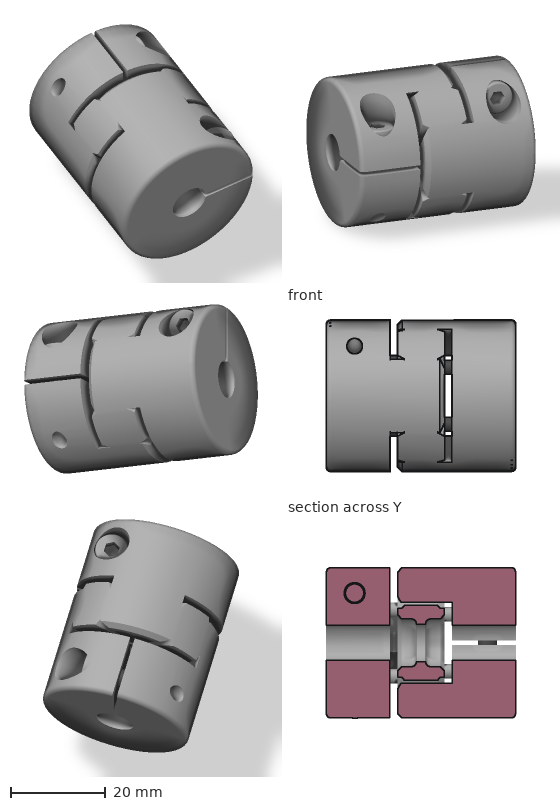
import cadquery as cq
import math


LENGTH = 40.0
RADIUS = 16.0
SPIDER_LENGTH = 10.0
HUB_SPACING = 13.0
SPIDER_START = (LENGTH - SPIDER_LENGTH) / 2
SPIDER_END = SPIDER_START + SPIDER_LENGTH
HUB_LENGTH = (LENGTH - HUB_SPACING) / 2

BORE_RADIUS = 4.0
RIM_FILLET = 1.0
SLOT_WIDTH = 1.0

JAW_HALF_WIDTH = 7.75
JAW_INNER_RADIUS = 8.7
JAW_CHAMFER = 1.0
FLANK_RADIUS = 16.0
JAW_CORNER_HEIGHT = math.sqrt(RADIUS**2 - JAW_HALF_WIDTH**2)
FLANK_OFFSET = JAW_HALF_WIDTH + math.sqrt(FLANK_RADIUS**2 - JAW_CORNER_HEIGHT**2)

LEG_CHAMFER_LENGTH = 1.5
LEG_CHAMFER_DEPTH = 0.8
CORE_RADIUS = 7.5
WEB_HOLE_RADIUS = 4.25
RECESS_RADIUS = 5.25
RECESS_FILLET = RECESS_RADIUS - WEB_HOLE_RADIUS
RECESS_DEPTH = 4.0
RECESS_CHAMFER = 0.9
PIN_RADIUS = 3.0 / 2
FIRST_PIN_OFFSET = 7.05
SECOND_PIN_OFFSET = 6.0

SCREW_X = 6.0
SCREW_Z = 10.5
COUNTERBORE_RADIUS = 7.5 / 2
CLEARANCE_RADIUS = 4.3 / 2
TAPPED_RADIUS = 3.3 / 2
SHANK_RADIUS = 4.0 / 2
HEAD_RADIUS = 7.0 / 2
HEAD_HEIGHT = 4.0
HEAD_TOP_Y = 8.5
HEAD_SEAT_Y = HEAD_TOP_Y - HEAD_HEIGHT
HEAD_FILLET = 0.4
SCREW_LENGTH = 14.0
SCREW_TIP_Y = HEAD_SEAT_Y - SCREW_LENGTH
SOCKET_ACROSS_FLATS = 3.0
SOCKET_DIAMETER = SOCKET_ACROSS_FLATS / math.cos(math.pi / 6)
SOCKET_DEPTH = 2.0
SOCKET_POINT_DEPTH = 0.9


def x_cylinder(radius, start, end, y=0.0, z=0.0):
    """Cylinder along X between two X positions."""
    return cq.Workplane("YZ", origin=(start, y, z)).circle(radius).extrude(end - start)


def y_cylinder(radius, start, end):
    """Cylinder on the screw axis between two Y positions."""
    plane = cq.Plane(origin=(SCREW_X, start, SCREW_Z), xDir=(1, 0, 0), normal=(0, 1, 0))
    return cq.Workplane(plane).circle(radius).extrude(end - start)


def cut_jaws(body):
    """Leave two opposite jaws, at -Y and +Y, on the inner end of a hub body.

    The tips are chamfered along their flanks, which are hollowed by a cylinder at +Z and at -Z.
    """
    body = body.cut(x_cylinder(JAW_INNER_RADIUS, HUB_LENGTH, SPIDER_END))
    flank = (
        cq.Workplane("XY")
        .moveTo(HUB_LENGTH, 0)
        .lineTo(HUB_LENGTH, FLANK_RADIUS)
        .lineTo(SPIDER_END - JAW_CHAMFER, FLANK_RADIUS)
        .lineTo(SPIDER_END, FLANK_RADIUS + JAW_CHAMFER)
        .lineTo(SPIDER_END, 0)
        .close()
        .revolve(360, (0, 0, 0), (1, 0, 0))
    )
    for side in (-1, 1):
        body = body.cut(flank.translate((0, 0, side * FLANK_OFFSET)))
    return body


def make_screw():
    """Socket head cap screw with its head towards +Y."""
    head = y_cylinder(HEAD_RADIUS, HEAD_SEAT_Y, HEAD_TOP_Y).faces(">Y").edges().fillet(HEAD_FILLET)
    top = cq.Plane(origin=(SCREW_X, HEAD_TOP_Y, SCREW_Z), xDir=(1, 0, 0), normal=(0, 1, 0))
    socket = cq.Workplane(top).polygon(6, SOCKET_DIAMETER).extrude(-SOCKET_DEPTH)
    point = cq.Solid.makeCone(
        SOCKET_ACROSS_FLATS / 2,
        0,
        SOCKET_POINT_DEPTH,
        pnt=cq.Vector(SCREW_X, HEAD_TOP_Y - SOCKET_DEPTH, SCREW_Z),
        dir=cq.Vector(0, -1, 0),
    )
    shank = y_cylinder(SHANK_RADIUS, SCREW_TIP_Y, HEAD_SEAT_Y)
    return head.union(shank).cut(socket).cut(cq.Workplane(point))


def make_hub():
    """Clamping hub with its outer face at X = 0, complete with jaws and screw."""
    hub = x_cylinder(RADIUS, 0, SPIDER_END)
    hub = hub.faces("<X").edges().fillet(RIM_FILLET)
    hub = hub.faces(">X").edges().chamfer(JAW_CHAMFER)
    hub = cut_jaws(hub)
    hub = hub.cut(x_cylinder(BORE_RADIUS, 0, HUB_LENGTH))
    slot = cq.Workplane("XY").box(HUB_LENGTH, SLOT_WIDTH, RADIUS, centered=(False, True, False))
    hub = hub.cut(slot)
    hub = hub.cut(y_cylinder(COUNTERBORE_RADIUS, HEAD_SEAT_Y, RADIUS))
    hub = hub.cut(y_cylinder(CLEARANCE_RADIUS, 0, HEAD_SEAT_Y))
    hub = hub.cut(y_cylinder(TAPPED_RADIUS, -RADIUS, 0))
    return hub.union(make_screw())


def make_leg_side():
    """Cylinder whose wall forms one bulged, end-chamfered flank of a spider leg."""
    return (
        x_cylinder(FLANK_RADIUS, SPIDER_START, SPIDER_END)
        .faces("<X or >X")
        .edges()
        .chamfer(LEG_CHAMFER_LENGTH, LEG_CHAMFER_DEPTH)
    )


def make_recess():
    """Round recess in the first spider face, with a chamfered mouth and a rounded floor corner."""
    floor = SPIDER_START + RECESS_DEPTH
    return (
        cq.Workplane("XY")
        .moveTo(SPIDER_START, 0)
        .lineTo(SPIDER_START, RECESS_RADIUS + RECESS_CHAMFER)
        .lineTo(SPIDER_START + RECESS_CHAMFER, RECESS_RADIUS)
        .lineTo(floor - RECESS_FILLET, RECESS_RADIUS)
        .radiusArc((floor, WEB_HOLE_RADIUS), RECESS_FILLET)
        .lineTo(floor, 0)
        .close()
        .revolve(360, (0, 0, 0), (1, 0, 0))
    )


def make_spider():
    """Four diagonal legs on a round core, with spacer pins reaching to both hub faces."""
    spider = x_cylinder(CORE_RADIUS, SPIDER_START, SPIDER_END)
    disc = x_cylinder(RADIUS, SPIDER_START, SPIDER_END)
    diagonals = [(y, z) for y in (-1, 1) for z in (-1, 1)]
    for y, z in diagonals:
        side_facing_y = make_leg_side().translate((0, y * FLANK_OFFSET, 0))
        side_facing_z = make_leg_side().translate((0, 0, z * FLANK_OFFSET))
        spider = spider.union(disc.intersect(side_facing_y).intersect(side_facing_z))
    recess = make_recess()
    spider = spider.cut(x_cylinder(WEB_HOLE_RADIUS, SPIDER_START, SPIDER_END))
    spider = spider.cut(recess).cut(recess.mirror("YZ", (LENGTH / 2, 0, 0)))
    for y, z in diagonals:
        first = FIRST_PIN_OFFSET
        second = SECOND_PIN_OFFSET
        spider = spider.union(x_cylinder(PIN_RADIUS, HUB_LENGTH, SPIDER_START, y * first, z * first))
        spider = spider.union(
            x_cylinder(PIN_RADIUS, SPIDER_END, LENGTH - HUB_LENGTH, y * second, z * second)
        )
    return spider


first_hub = make_hub()
second_hub = first_hub.rotate((LENGTH / 2, 0, 0), (LENGTH / 2, 0.4, 0.4), 180)
result = first_hub.union(make_spider()).union(second_hub)